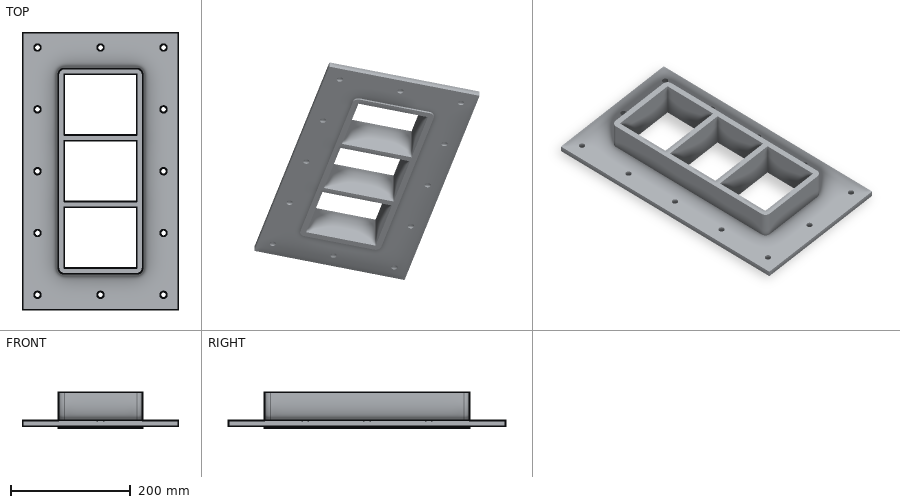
import cadquery as cq

opening_width = 120.5
opening_length = 101.0
opening_count = 3

wall = 10.0
corner_radius = 10.0
frame_height = 60.0
opening_pitch = opening_length + wall
frame_width = opening_width + 2 * wall
frame_length = opening_count * opening_pitch + wall

flange_margin = 60.0
flange_thickness = 10.0
frame_below_flange = 3.0
flange_width = frame_width + 2 * flange_margin
flange_length = frame_length + 2 * flange_margin

hole_diameter = 10.5
hole_edge_distance = 25.0
hole_columns = 3
hole_rows = 5
hole_pitch_x = (flange_width - 2 * hole_edge_distance) / (hole_columns - 1)
hole_pitch_y = (flange_length - 2 * hole_edge_distance) / (hole_rows - 1)


def block(width, length, height, bottom=0.0):
    """Box centred on the Z axis, standing on the given height."""
    return cq.Workplane("XY").workplane(offset=bottom).rect(width, length).extrude(height)


def make_frame():
    """Solid frame body with rounded vertical corners."""
    return block(frame_width, frame_length, frame_height).edges("|Z").fillet(corner_radius)


def make_flange():
    """Flat plate that sits slightly above the bottom of the frame."""
    return block(flange_width, flange_length, flange_thickness, frame_below_flange)


def make_openings():
    """Cutters for the through openings, separated by one wall thickness."""
    return (
        cq.Workplane("XY")
        .rarray(opening_width, opening_pitch, 1, opening_count)
        .rect(opening_width, opening_length)
        .extrude(frame_height)
    )


def rim_hole_points():
    """Grid positions on the outer rows and columns only."""
    points = []
    for column in range(hole_columns):
        for row in range(hole_rows):
            if column in (0, hole_columns - 1) or row in (0, hole_rows - 1):
                x = (column - (hole_columns - 1) / 2) * hole_pitch_x
                y = (row - (hole_rows - 1) / 2) * hole_pitch_y
                points.append((x, y))
    return points


def make_bolt_holes():
    """Cutters for the bolt holes, reaching through the flange."""
    return (
        cq.Workplane("XY")
        .pushPoints(rim_hole_points())
        .circle(hole_diameter / 2)
        .extrude(frame_height)
    )


result = make_frame().union(make_flange()).cut(make_openings()).cut(make_bolt_holes())